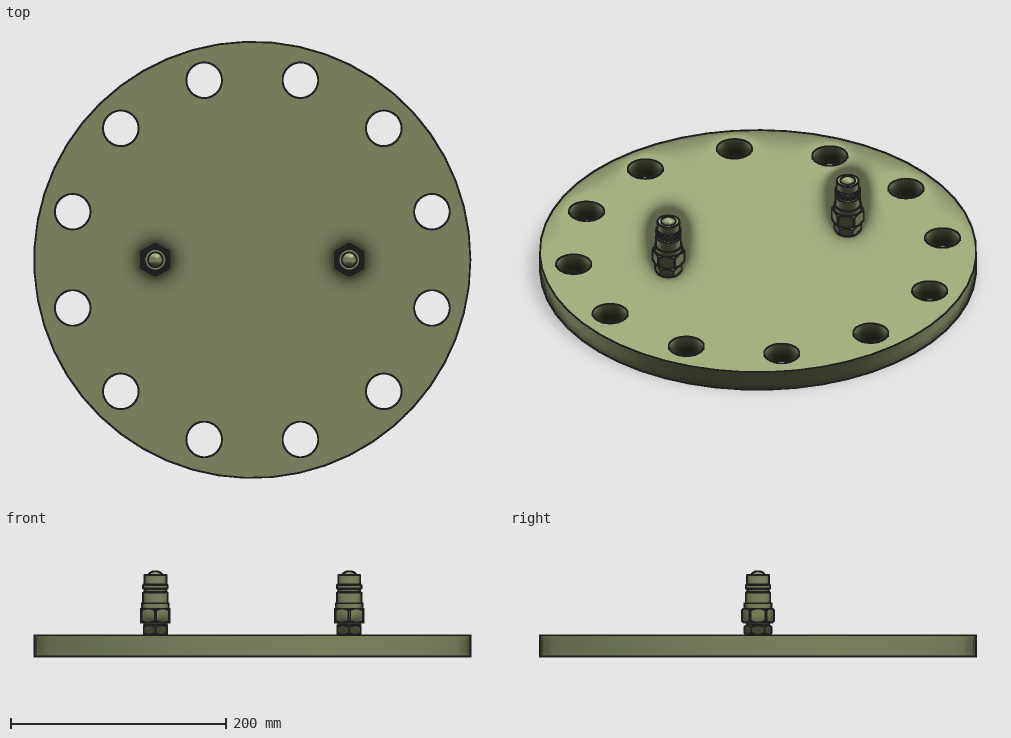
import cadquery as cq
import math

PLATE_DIAMETER = 405.0
PLATE_THICKNESS = 20.0
BOLT_CIRCLE_DIAMETER = 345.0
BOLT_HOLE_DIAMETER = 33.0
BOLT_HOLE_COUNT = 12

TOTAL_HEIGHT = 79.5
FITTING_SPACING = 180.0

HEX_SIDES = 6
HEX_CHAMFER_ANGLE = 45.0

NIPPLE_HEX_FLATS = 22.0
NIPPLE_HEX_CORNERS = 25.0
NIPPLE_HEX_HEIGHT = 9.7
NIPPLE_NECK_DIAMETER = 20.5
NIPPLE_HEIGHT = 11.7

PLUG_HEX_FLATS = 26.7
PLUG_HEX_CORNERS = 30.0
PLUG_HEX_HEIGHT = 13.0
COLLAR_DIAMETER = 25.0
COLLAR_HEIGHT = 5.0
BARREL_DIAMETER = 23.0
BARREL_HEIGHT = 9.7
GROOVE_DIAMETER = 20.2
GROOVE_WIDTH = 2.0
GROOVE_FLARE = 1.2
RING_HEIGHT = 2.5
TIP_DIAMETER = 20.5
TIP_EDGE_CHAMFER = 0.5
DOME_DIAMETER = 13.8
DOME_HEIGHT = 3.5


def make_plate():
    """Round plate with its underside at Z = 0; the bolt holes straddle the axes."""
    hole_pitch = 360.0 / BOLT_HOLE_COUNT
    return (
        cq.Workplane("XY")
        .circle(PLATE_DIAMETER / 2)
        .extrude(PLATE_THICKNESS)
        .faces(">Z")
        .workplane()
        .polarArray(BOLT_CIRCLE_DIAMETER / 2, hole_pitch / 2, 360, BOLT_HOLE_COUNT)
        .hole(BOLT_HOLE_DIAMETER)
    )


def turned_hex(flats, corners, end_diameter, height):
    """Hexagon with flats facing +X and -X, its corners turned and chamfered at both ends."""
    half_side_angle = 180.0 / HEX_SIDES
    corner_radius = corners / 2
    end_radius = end_diameter / 2
    chamfer_height = (corner_radius - end_radius) * math.tan(math.radians(HEX_CHAMFER_ANGLE))
    envelope = (
        cq.Workplane("XZ")
        .polyline([
            (0, 0),
            (end_radius, 0),
            (corner_radius, chamfer_height),
            (corner_radius, height - chamfer_height),
            (end_radius, height),
            (0, height),
        ])
        .close()
        .revolve(360, (0, 0), (0, 1))
    )
    prism = (
        cq.Workplane("XY")
        .polygon(HEX_SIDES, flats / math.cos(math.radians(half_side_angle)))
        .extrude(height)
        .rotate((0, 0, 0), (0, 0, 1), half_side_angle)
    )
    return prism.intersect(envelope)


def make_nipple():
    """Hexagon with a neck, standing on Z = 0."""
    neck = cq.Workplane("XY").circle(NIPPLE_NECK_DIAMETER / 2).extrude(NIPPLE_HEIGHT)
    hexagon = turned_hex(NIPPLE_HEX_FLATS, NIPPLE_HEX_CORNERS, NIPPLE_NECK_DIAMETER, NIPPLE_HEX_HEIGHT)
    return hexagon.union(neck)


def make_plug_barrel(height):
    """Turned part of the plug: collar, barrel, groove, ring, tip and rounded nose."""
    collar_radius = COLLAR_DIAMETER / 2
    barrel_radius = BARREL_DIAMETER / 2
    groove_radius = GROOVE_DIAMETER / 2
    tip_radius = TIP_DIAMETER / 2
    dome_radius = DOME_DIAMETER / 2

    collar_top = PLUG_HEX_HEIGHT + COLLAR_HEIGHT
    barrel_top = collar_top + BARREL_HEIGHT
    groove_bottom = barrel_top + GROOVE_FLARE
    groove_top = groove_bottom + GROOVE_WIDTH
    ring_bottom = groove_top + GROOVE_FLARE
    ring_top = ring_bottom + RING_HEIGHT
    ring_shoulder = ring_top + barrel_radius - tip_radius
    tip_top = height - DOME_HEIGHT

    sphere_radius = (dome_radius**2 + DOME_HEIGHT**2) / (2 * DOME_HEIGHT)
    half_sweep = math.asin(dome_radius / sphere_radius) / 2
    dome_middle = (
        sphere_radius * math.sin(half_sweep),
        height - sphere_radius * (1 - math.cos(half_sweep)),
    )
    return (
        cq.Workplane("XZ")
        .moveTo(0, 0)
        .lineTo(collar_radius, 0)
        .lineTo(collar_radius, collar_top)
        .lineTo(barrel_radius, collar_top)
        .lineTo(barrel_radius, barrel_top)
        .lineTo(groove_radius, groove_bottom)
        .lineTo(groove_radius, groove_top)
        .lineTo(barrel_radius, ring_bottom)
        .lineTo(barrel_radius, ring_top)
        .lineTo(tip_radius, ring_shoulder)
        .lineTo(tip_radius, tip_top - TIP_EDGE_CHAMFER)
        .lineTo(tip_radius - TIP_EDGE_CHAMFER, tip_top)
        .lineTo(dome_radius, tip_top)
        .threePointArc(dome_middle, (0, height))
        .close()
        .revolve(360, (0, 0), (0, 1))
    )


def make_plug():
    """Coupling plug with its hexagon's underside at Z = 0."""
    height = TOTAL_HEIGHT - PLATE_THICKNESS - NIPPLE_HEIGHT
    hexagon = turned_hex(PLUG_HEX_FLATS, PLUG_HEX_CORNERS, PLUG_HEX_FLATS, PLUG_HEX_HEIGHT)
    return hexagon.union(make_plug_barrel(height))


plate = make_plate()

nipples = []
plugs = []
for side in (-1, 1):
    fitting_x = side * FITTING_SPACING / 2
    nipples.append(make_nipple().translate((fitting_x, 0, PLATE_THICKNESS)))
    plugs.append(make_plug().translate((fitting_x, 0, PLATE_THICKNESS + NIPPLE_HEIGHT)))

result = cq.Compound.makeCompound(
    [plate.val()] + [nipple.val() for nipple in nipples] + [plug.val() for plug in plugs]
)